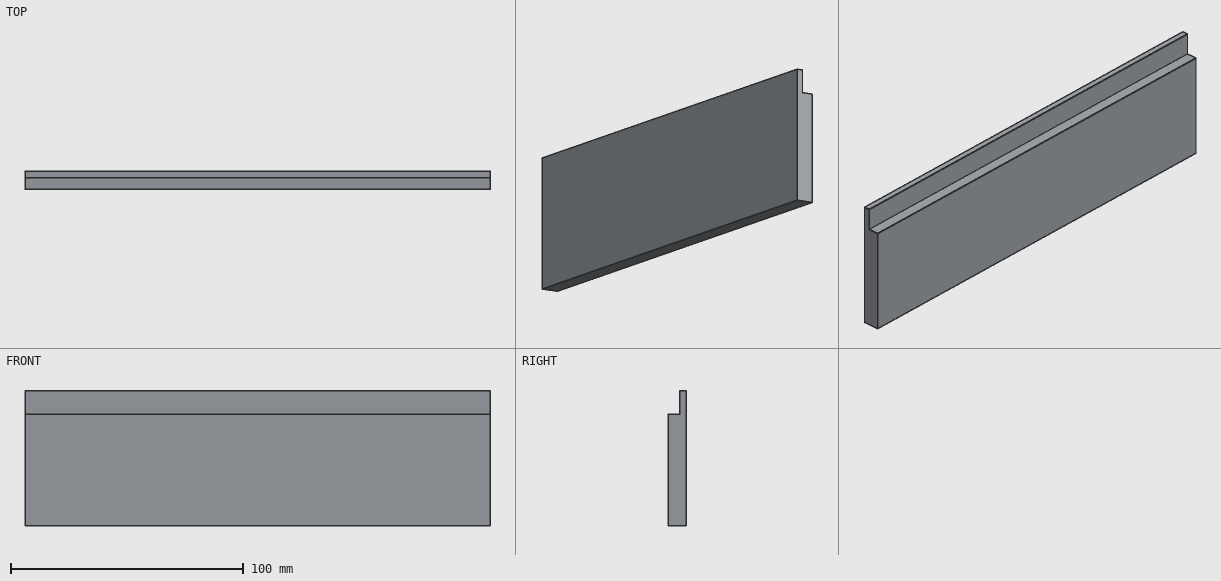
import cadquery as cq

length = 200.0
thickness = 8.0
height = 58.0

lip_thickness = 3.0
lip_height = 10.0

edge_break = 0.2

pick_margin = 0.1

shoulder_z = height - lip_height
lip_front_y = thickness / 2 - lip_thickness


def make_panel():
    """Full-size flat panel, centred in X and Y and standing on Z = 0."""
    return cq.Workplane("XY").box(length, thickness, height, centered=(True, True, False))


def make_rebate():
    """Block removed from the upper front edge over the whole length."""
    return (
        cq.Workplane("XY")
        .box(length, thickness - lip_thickness, lip_height, centered=(True, False, False))
        .translate((0, -thickness / 2, shoulder_z))
    )


def break_outside_edges(body):
    """Chamfer every edge except the sharp inner corner of the rebate."""
    straight_edges = cq.StringSyntaxSelector("|X or |Y or |Z")
    inner_corner = cq.selectors.BoxSelector(
        (-pick_margin, lip_front_y - pick_margin, shoulder_z - pick_margin),
        (pick_margin, lip_front_y + pick_margin, shoulder_z + pick_margin),
    )
    return body.edges(straight_edges - inner_corner).chamfer(edge_break)


result = break_outside_edges(make_panel().cut(make_rebate()))